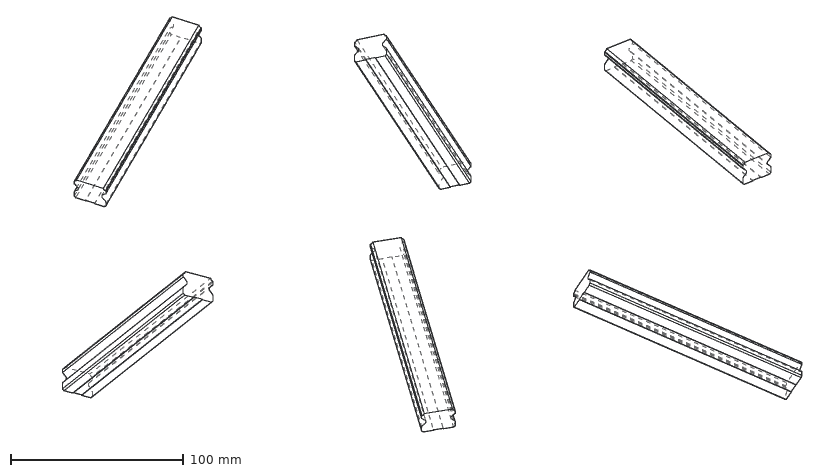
import cadquery as cq
import math

width = 20.0
length = 140.0
height = 15.5
half_width = width / 2

shoulder_top_x = 8.6
top_chamfer_width = 0.2
top_chamfer_height = 0.42
shoulder_hollow = 0.21
shoulder_foot_x = 9.76
shoulder_foot_z = 13.98
upper_side_top = 13.6

floor_half_width = 7.48
floor_bottom = 8.0
floor_top = 8.74
floor_fillet = 1.1
ridge_z = 10.7
groove_top = 11.57
upper_hollow = 0.11
lower_side_fillet = 1.5

base_chamfer = 1.0
relief_width = 5.8
relief_depth = 0.35

cap_diameter = 9.5
cap_thickness = 2.0
cap_pitch = 60.0
cap_count = 3

turn = math.pi / 4


def turn_run(radius):
    """Sideways extent of a fillet."""
    return radius * (1 - math.cos(turn))


def turn_rise(radius):
    """Upright extent of a fillet."""
    return radius * math.sin(turn)


def turn_sagitta(radius):
    """Height of a fillet's arc above its chord."""
    return radius * (1 - math.cos(turn / 2))


flank_inner_x = floor_half_width + turn_run(floor_fillet)
lower_flank_top = floor_bottom - turn_rise(floor_fillet)
upper_flank_bottom = floor_top + turn_rise(floor_fillet)
lower_flank_outer_x = half_width - turn_run(lower_side_fillet)
lower_flank_bottom = lower_flank_top - (lower_flank_outer_x - flank_inner_x)
ridge_x = flank_inner_x + (ridge_z - upper_flank_bottom)
lower_side_top = lower_flank_bottom - turn_rise(lower_side_fillet)


def rail_body():
    """Extrude the right half of the section along Y and mirror it across X = 0."""
    section = (
        cq.Workplane("XZ", origin=(0, length / 2, 0))
        .moveTo(0, relief_depth)
        .lineTo(relief_width / 2, relief_depth)
        .lineTo(relief_width / 2, 0)
        .lineTo(half_width - base_chamfer, 0)
        .lineTo(half_width, base_chamfer)
        .lineTo(half_width, lower_side_top)
        .sagittaArc((lower_flank_outer_x, lower_flank_bottom), -turn_sagitta(lower_side_fillet))
        .lineTo(flank_inner_x, lower_flank_top)
        .sagittaArc((floor_half_width, floor_bottom), turn_sagitta(floor_fillet))
        .lineTo(floor_half_width, floor_top)
        .sagittaArc((flank_inner_x, upper_flank_bottom), turn_sagitta(floor_fillet))
        .lineTo(ridge_x, ridge_z)
        .sagittaArc((half_width, groove_top), upper_hollow)
        .lineTo(half_width, upper_side_top)
        .lineTo(shoulder_foot_x, shoulder_foot_z)
        .sagittaArc((shoulder_top_x, height - top_chamfer_height), shoulder_hollow)
        .lineTo(shoulder_top_x - top_chamfer_width, height)
        .lineTo(0, height)
        .close()
    )
    half = section.extrude(length)
    return half.union(half.mirror("YZ"))


def hole_caps():
    """Discs let into the top face, evenly spaced along the rail."""
    return (
        cq.Workplane("XY", origin=(0, 0, height))
        .rarray(1, cap_pitch, 1, cap_count)
        .circle(cap_diameter / 2)
        .extrude(-cap_thickness)
    )


caps = hole_caps()
result = rail_body().cut(caps).union(caps, clean=False)